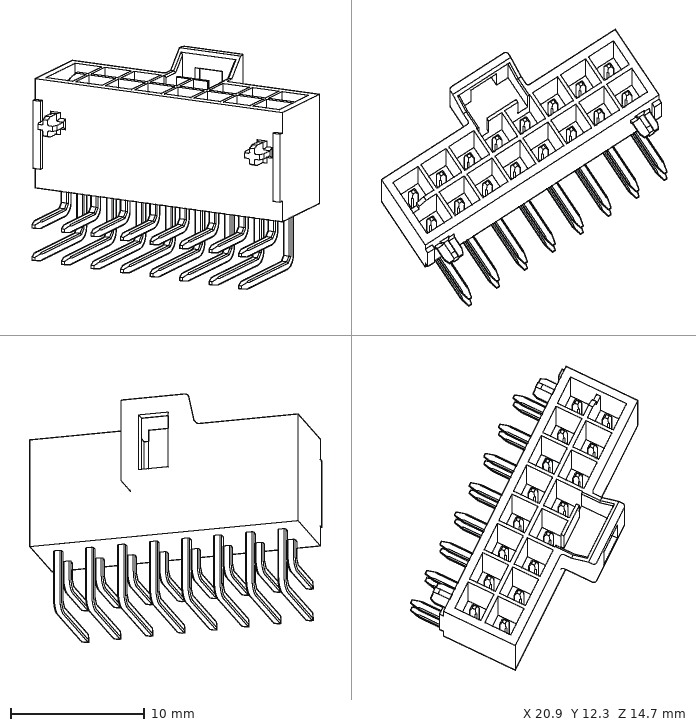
import cadquery as cq


margin = 0.02

length = 20.95
depth = 5.99
height = 8.48
front = -depth / 2
back = depth / 2

columns = 8
column_span = 17.5
pitch = column_span / (columns - 1)
column_x = [(i - (columns - 1) / 2) * pitch for i in range(columns)]
rear_row_y = pitch / 2
front_row_y = -pitch / 2

cell_width = 2.25
cell_depth = 2.15
cell_floor_z = 1.99
cell_back = rear_row_y + cell_depth / 2

row_wall_thickness = pitch - cell_depth
notch_depth = 1.68
notch_bevel = 0.63
notch_flat = 0.71

latch_width = 5.2
latch_back = back + 2.83
latch_top_z = height + 1.42
latch_bottom_z = 3.43
latch_crest = 0.57
latch_fillet = 0.25
latch_root_fillet = 0.2
latch_wall = 0.82
slot_width = 4.38
slot_floor_z = 4.25
slot_chamfer = 0.136
window_width = 2.3
window_top_z = height + 0.1
screen_width = 2.62
screen_thickness = 0.25

ridge_width = 0.63
ridge_height = 5.28
ridge_depth = 0.34

peg_z = 5.25
peg_length = 1.61
peg_span = 1.57
peg_tip_span = 1.24
peg_tip_length = 0.42
peg_arm = 0.4
peg_corner_fillet = 0.15
foot_span = 1.72
foot_arm = 0.84
foot_length = 0.2

lead_width = 0.63
lead_chamfer = 0.1
lead_end_y = front - 3.52
lead_tip_length = 0.84
lead_tip_width = 0.25
lead_top_z = height - 2.1
front_lead_z = -1.95
rear_lead_z = front_lead_z - pitch
bend_outer_radius = 0.96
bend_inner_bevel = 0.35


def block(x0, x1, y0, y1, z0, z1):
    """Box between two opposite corners."""
    return cq.Workplane("XY").box(x1 - x0, y1 - y0, z1 - z0, centered=False).translate((x0, y0, z0))


def make_latch():
    """Tower with a 45 degree ramp down to the housing top and rounded outer edges."""
    ramp_top_y = latch_back - latch_crest
    ramp_foot_y = ramp_top_y - (latch_top_z - height)
    profile = [
        (cell_back, latch_bottom_z),
        (latch_back, latch_bottom_z),
        (latch_back, latch_top_z),
        (ramp_top_y, latch_top_z),
        (ramp_foot_y, height),
        (cell_back, height),
    ]
    tower = cq.Workplane("YZ").polyline(profile).close().extrude(latch_width / 2, both=True)
    return tower.edges("(>Y and |Z) or <Z").edges("not <Y").fillet(latch_fillet)


def make_housing():
    """Solid body joined to the latch tower, with rounded corners where they meet."""
    body = block(-length / 2, length / 2, front, back, 0, height).union(make_latch()).clean()
    root_edges = cq.selectors.BoxSelector(
        (-latch_width, back - margin, latch_bottom_z + latch_fillet),
        (latch_width, back + margin, height - margin),
    )
    return body.edges(root_edges).edges("|Z").fillet(latch_root_fillet)


def cut_latch_slot(body):
    """Open the tower towards the cells, bevel the slot rim and pierce the back wall."""
    half = slot_width / 2
    slot_back = latch_back - latch_wall
    body = body.cut(block(-half, half, cell_back, slot_back, slot_floor_z, latch_top_z))
    for side in (-half, half):
        rim = cq.selectors.BoxSelector(
            (side - margin, cell_back, height - margin), (side + margin, slot_back - margin, latch_top_z)
        )
        body = body.edges(rim).edges("not(|X or |Z)").chamfer(slot_chamfer)
    half_window = window_width / 2
    return body.cut(
        block(-half_window, half_window, slot_back, latch_back, slot_floor_z, window_top_z)
    )


def cut_cells(body):
    """Open a rectangular cell around every contact."""
    cells = (
        cq.Workplane("XY", origin=(0, 0, cell_floor_z))
        .pushPoints([(x, y) for x in column_x for y in (front_row_y, rear_row_y)])
        .rect(cell_width, cell_depth)
        .extrude(height)
    )
    return body.cut(cells)


def make_screen():
    """Thin wall between the latch slot and the two middle cells."""
    half = screen_width / 2
    return block(-half, half, cell_back, cell_back + screen_thickness, cell_floor_z, height)


def make_notch():
    """Cutter for the stepped and bevelled notch in the row wall of the first column."""
    left = column_x[0] - cell_width / 2
    step_x = left + notch_flat
    profile = [
        (left, height - notch_depth),
        (step_x, height - notch_depth),
        (step_x, height - notch_bevel),
        (step_x + notch_bevel, height),
        (left, height),
    ]
    return cq.Workplane("XZ").polyline(profile).close().extrude(row_wall_thickness / 2, both=True)


def make_ridge(side):
    """Upright ridge at one end of the front face; side is -1 or 1."""
    outer = side * length / 2
    inner = side * (length / 2 - ridge_width)
    low_z = (height - ridge_height) / 2
    return block(
        min(inner, outer), max(inner, outer), front - ridge_depth, front, low_z, low_z + ridge_height
    )


def cross_outline(plane, span, arm):
    """Closed plus-shaped outline."""
    s = span / 2
    a = arm / 2
    return plane.polyline(
        [(-a, -s), (a, -s), (a, -a), (s, -a), (s, a), (a, a),
         (a, s), (-a, s), (-a, a), (-s, a), (-s, -a), (-a, -a)]
    ).close()


def make_peg():
    """Peg pointing along -Y from the origin, with tapered arm ends and a flared foot."""
    half = peg_span / 2
    half_tip = peg_tip_span / 2
    taper_y = peg_tip_length - peg_length
    profile = [
        (-half, 0),
        (-half, taper_y),
        (-half_tip, -peg_length),
        (half_tip, -peg_length),
        (half, taper_y),
        (half, 0),
    ]
    arm = cq.Workplane("XY").polyline(profile).close().extrude(peg_arm / 2, both=True)
    peg = arm.union(arm.rotate((0, 0, 0), (0, 1, 0), 90))
    corner = peg_arm / 2 + margin
    inner_corners = cq.selectors.BoxSelector((-corner, -peg_length, -corner), (corner, 0, corner))
    peg = peg.edges(inner_corners).edges("|Y").fillet(peg_corner_fillet)
    foot = cross_outline(cq.Workplane("XZ"), foot_span, foot_arm)
    foot = cross_outline(foot.workplane(offset=foot_length), peg_span, peg_arm).loft(ruled=True)
    return peg.union(foot)


def make_tip(plane):
    """Square pyramid stub ending a lead."""
    return (
        plane.rect(lead_width, lead_width)
        .workplane(offset=lead_tip_length)
        .rect(lead_tip_width, lead_tip_width)
        .loft(ruled=True)
    )


def make_lead(row_y, axis_z):
    """L-shaped square lead at X = 0 with bevelled edges and a pointed tip at each end."""
    half = lead_width / 2
    y_shoulder = lead_end_y + lead_tip_length
    z_shoulder = lead_top_z - lead_tip_length
    outer_y = row_y + half
    outer_z = axis_z - half
    inner_y = row_y - half
    inner_z = axis_z + half
    lead = (
        cq.Workplane("YZ")
        .moveTo(lead_end_y, outer_z)
        .lineTo(outer_y - bend_outer_radius, outer_z)
        .radiusArc((outer_y, outer_z + bend_outer_radius), -bend_outer_radius)
        .lineTo(outer_y, lead_top_z)
        .lineTo(inner_y, lead_top_z)
        .lineTo(inner_y, inner_z + bend_inner_bevel)
        .lineTo(inner_y - bend_inner_bevel, inner_z)
        .lineTo(lead_end_y, inner_z)
        .close()
        .extrude(half, both=True)
        .edges("not(|X or <Y or >Z)")
        .chamfer(lead_chamfer)
    )
    y_tip = make_tip(cq.Workplane("XZ", origin=(0, y_shoulder, axis_z)))
    z_tip = make_tip(cq.Workplane("XY", origin=(0, row_y, z_shoulder)))
    y_end = block(-half, half, lead_end_y, y_shoulder, outer_z, inner_z)
    z_end = block(-half, half, inner_y, outer_y, z_shoulder, lead_top_z)
    return lead.cut(y_end.cut(y_tip)).cut(z_end.cut(z_tip))


result = cut_cells(cut_latch_slot(make_housing()))
result = result.union(make_screen()).cut(make_notch())

peg = make_peg()
for side in (-1, 1):
    result = result.union(make_ridge(side))
    result = result.union(peg.translate((side * column_x[-1], front, peg_z)))

for row_y, axis_z in ((front_row_y, front_lead_z), (rear_row_y, rear_lead_z)):
    lead = make_lead(row_y, axis_z)
    for x in column_x:
        result = result.union(lead.translate((x, 0, 0)))